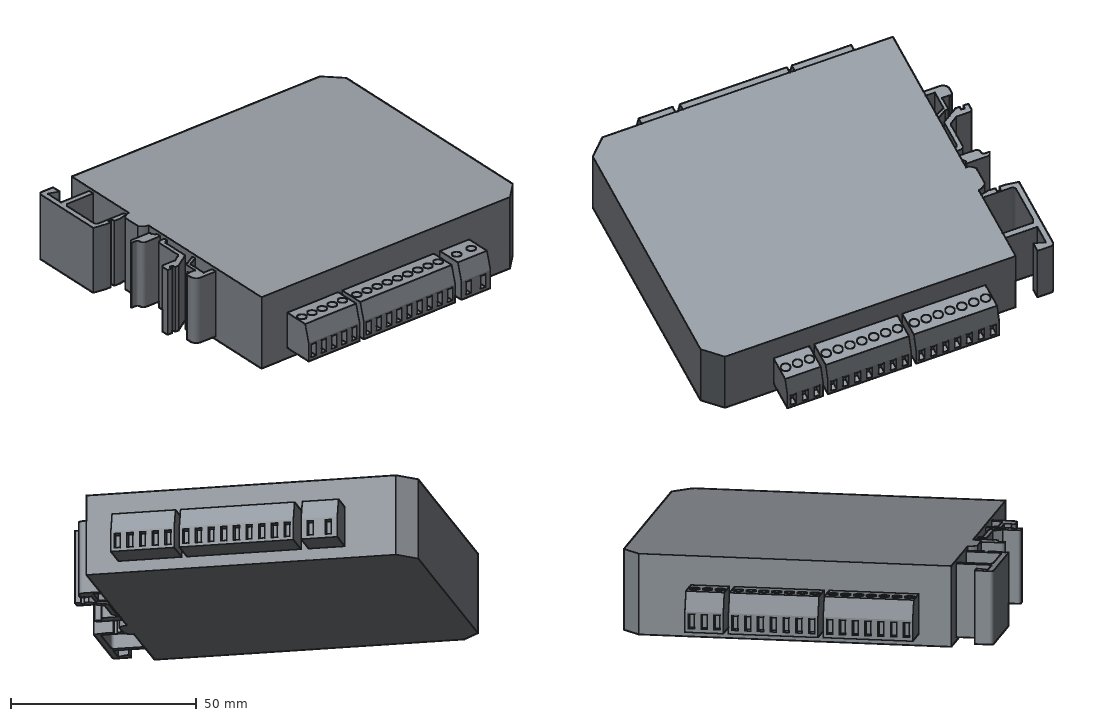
import cadquery as cq


OVERALL_WIDTH = 100.6
OVERALL_DEPTH = 101.9
HOUSING_WIDTH = 82.0
HOUSING_HEIGHT = 22.3
HOUSING_CHAMFER = 5.0

FOOT_REACH = 11.4
FOOT_INSET = 1.0
HOUSING_DEPTH = OVERALL_DEPTH - FOOT_REACH

TERMINAL_REACH = (OVERALL_WIDTH - HOUSING_WIDTH) / 2
TERMINAL_BOTTOM = 3.3
TERMINAL_HEIGHT = 11.0
TERMINAL_FACE_HEIGHT = 5.7
TERMINAL_SLOPE_RUN = 1.5
FIRST_TERMINAL_Y = 8.9
TERMINAL_GAP = 1.4
WIDE_TERMINAL_GAP = 2.1

NINE_POLE_LENGTH = 31.5
POLE_PITCH = NINE_POLE_LENGTH / 9
WIDE_POLE_PITCH = 5.0

SCREW_DIAMETER = 2.6
SCREW_FROM_FACE = 5.2
SCREW_RECESS = 0.1
OPENING_WIDTH = 1.6
OPENING_HEIGHT = 4.0
OPENING_ABOVE_BOTTOM = 1.0
OPENING_DEPTH = 2.0


def make_housing():
    """Flat box with its two rear vertical edges chamfered."""
    box = cq.Workplane("XY").box(HOUSING_WIDTH, HOUSING_DEPTH, HOUSING_HEIGHT, centered=False)
    return box.faces(">Y").edges("|Z").chamfer(HOUSING_CHAMFER)


def make_terminal(start_y, poles, pitch):
    """Terminal block on the left side, with a screw recess and a wire opening for each pole."""
    length = poles * pitch
    top = TERMINAL_BOTTOM + TERMINAL_HEIGHT
    outline = [
        (0, TERMINAL_BOTTOM),
        (-TERMINAL_REACH, TERMINAL_BOTTOM),
        (-TERMINAL_REACH, TERMINAL_BOTTOM + TERMINAL_FACE_HEIGHT),
        (-TERMINAL_REACH + TERMINAL_SLOPE_RUN, top),
        (0, top),
    ]
    block = cq.Workplane("XZ", origin=(0, start_y, 0)).polyline(outline).close().extrude(-length)

    pole_places = [start_y + (pole + 0.5) * pitch for pole in range(poles)]
    screw_x = SCREW_FROM_FACE - TERMINAL_REACH
    screws = (
        cq.Workplane("XY", origin=(0, 0, top))
        .pushPoints([(screw_x, y) for y in pole_places])
        .circle(SCREW_DIAMETER / 2)
        .extrude(-SCREW_RECESS)
    )
    opening_z = TERMINAL_BOTTOM + OPENING_ABOVE_BOTTOM + OPENING_HEIGHT / 2
    openings = (
        cq.Workplane("YZ", origin=(-TERMINAL_REACH, 0, 0))
        .pushPoints([(y, opening_z) for y in pole_places])
        .rect(OPENING_WIDTH, OPENING_HEIGHT)
        .extrude(OPENING_DEPTH)
    )
    return block.cut(screws).cut(openings)


def make_left_terminals():
    """Blocks of seven, seven and three poles, from front to rear."""
    terminals = cq.Workplane("XY")
    start_y = FIRST_TERMINAL_Y
    for poles in (7, 7, 3):
        terminals = terminals.add(make_terminal(start_y, poles, POLE_PITCH))
        start_y += poles * POLE_PITCH + TERMINAL_GAP
    return terminals.combine()


def make_right_terminals():
    """Blocks of five, nine and two poles, from front to rear; the last has a wider pitch."""
    five_y = FIRST_TERMINAL_Y
    nine_y = five_y + 5 * POLE_PITCH + TERMINAL_GAP
    two_y = nine_y + NINE_POLE_LENGTH + WIDE_TERMINAL_GAP
    terminals = make_terminal(five_y, 5, POLE_PITCH)
    terminals = terminals.add(make_terminal(nine_y, 9, POLE_PITCH))
    terminals = terminals.add(make_terminal(two_y, 2, WIDE_POLE_PITCH))
    return terminals.combine().mirror("YZ", (HOUSING_WIDTH / 2, 0, 0))


def extrude_foot(outline):
    """Raise a closed outline to the height of the rail foot."""
    plane = cq.Workplane("XY", origin=(0, 0, FOOT_INSET))
    return plane.polyline(outline).close().extrude(HOUSING_HEIGHT - 2 * FOOT_INSET)


def round_corners(solid, corners, radius):
    """Fillet the upright edges of a foot piece that stand at the given corners."""
    mid_height = HOUSING_HEIGHT / 2
    for x, y in corners:
        edge = cq.selectors.NearestToPointSelector((x, y, mid_height))
        solid = solid.edges("|Z").edges(edge).fillet(radius)
    return solid


def make_frame_foot():
    """Open frame with a hooked lip on its left and a notched right wall."""
    left_wall_x = 7.5
    chamber_left = 9.3
    chamber_right = 22.6
    floor_y = -9.7
    wall_root_x = 23.6
    wall_bulge_x = 24.3
    notch_floor_x = 23.0
    outer_corner = (0, -FOOT_REACH)
    chamber_corners = [(chamber_left, floor_y), (chamber_right, floor_y)]
    outline = [
        outer_corner,
        (0, -6.4),
        (2.9, -6.4),
        (1.7, floor_y),
        (left_wall_x, floor_y),
        (left_wall_x, 0),
        (chamber_left, 0),
        *chamber_corners,
        (chamber_right, 0),
        (wall_root_x, 0),
        (wall_bulge_x, -2.6),
        (wall_bulge_x, -4.7),
        (notch_floor_x, -4.7),
        (notch_floor_x, -5.8),
        (wall_bulge_x, -5.8),
        (wall_bulge_x, -7.5),
        (wall_root_x, -FOOT_REACH),
    ]
    return round_corners(extrude_foot(outline), [outer_corner, *chamber_corners], 1.0)


def make_wedge():
    """Stop over the full height of the housing, its flanks curving in towards the flat tip."""
    left = 24.7
    right = 33.2
    tip_y = -2.4
    taper = 1.5
    flank_radius = 3.5
    return (
        cq.Workplane("XY")
        .moveTo(right, 0)
        .lineTo(left, 0)
        .radiusArc((left + taper, tip_y), -flank_radius)
        .lineTo(right - taper, tip_y)
        .radiusArc((right, 0), -flank_radius)
        .close()
        .extrude(HOUSING_HEIGHT)
    )


def make_short_hook():
    """Upright bar with a thin finger at its tip."""
    left = 35.1
    right = 38.3
    finger_x = 36.3
    neck_x = 36.7
    shoulder_y = -6.1
    tip_y = -8.3
    outline = [
        (left, -1.0),
        (left, tip_y),
        (finger_x, tip_y),
        (finger_x, shoulder_y),
        (right, shoulder_y),
        (right, 0),
        (neck_x, 0),
        (neck_x, -0.4),
        (35.9, -1.1),
    ]
    hook = round_corners(extrude_foot(outline), [(left, tip_y)], 1.1)
    hook = round_corners(hook, [(finger_x, shoulder_y)], 0.7)
    return round_corners(hook, [(right, shoulder_y)], 1.2)


def make_spring_arm():
    """Cranked arm with a notched tip."""
    root_left = 40.0
    root_right = 41.4
    arm_top = -1.1
    arm_bottom = -2.4
    tip_left = 50.8
    tip_right = 53.6
    tip_y = -9.7
    notch_floor_x = 52.6
    outline = [
        (root_left, 0),
        (root_left, arm_bottom),
        (49.1, arm_bottom),
        (tip_left, -4.9),
        (tip_left, tip_y),
        (tip_right, tip_y),
        (tip_right, -8.2),
        (notch_floor_x, -8.2),
        (notch_floor_x, -7.1),
        (tip_right, -7.1),
        (tip_right, -5.9),
        (50.4, arm_top),
        (root_right, arm_top),
        (root_right, 0),
    ]
    arm = round_corners(extrude_foot(outline), [(root_left, arm_bottom)], 1.1)
    return round_corners(arm, [(root_right, arm_top), (tip_left, tip_y)], 0.7)


def make_latch():
    """Sloped brace joined to an upright that ends in a rounded, barbed nose."""
    right = 62.3
    inner_right = 60.7
    brace_top = -3.0
    brace_bottom = -4.0
    nose_left = 58.3
    nose_tip_y = -7.1
    nose_corner = (right, nose_tip_y)
    outline = [
        (52.2, 0),
        (54.0, -3.1),
        (54.0, brace_bottom),
        (nose_left, brace_bottom),
        (nose_left, -6.1),
        (57.6, -6.0),
        (58.7, nose_tip_y),
        nose_corner,
        (right, 0),
        (inner_right, 0),
        (inner_right, brace_top),
        (54.9, brace_top),
        (53.4, 0),
    ]
    return round_corners(extrude_foot(outline), [nose_corner], 2.0)


result = make_housing()
for attachment in (
    make_left_terminals(),
    make_right_terminals(),
    make_frame_foot(),
    make_wedge(),
    make_short_hook(),
    make_spring_arm(),
    make_latch(),
):
    result = result.union(attachment)